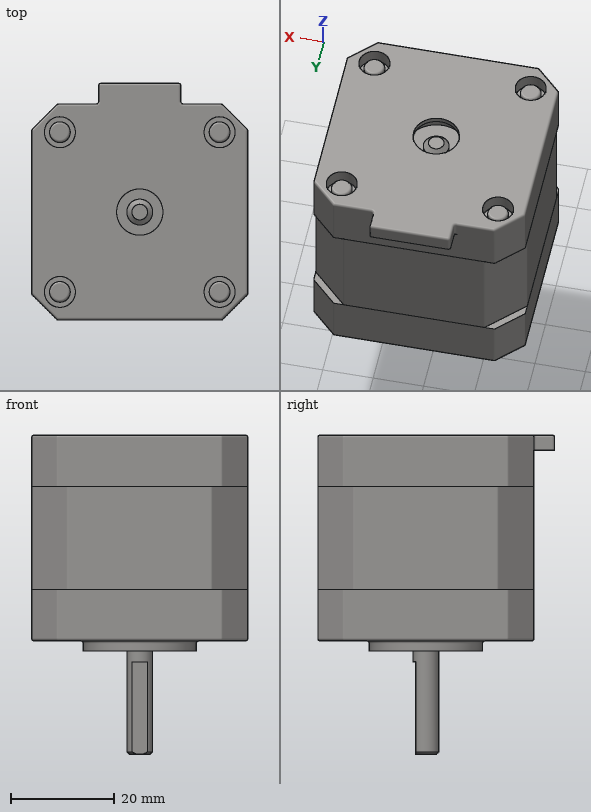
import cadquery as cq


housing_width = 42.0
cap_height = 10.0
core_height = 20.0
cap_corner_cut = 5.0
core_corner_cut = 7.0
edge_radius = 0.5

rear_cap_base = cap_height + core_height
housing_top = rear_cap_base + cap_height

tab_width = 16.0
tab_reach = 4.0
tab_thickness = 3.0

boss_diameter = 22.0
boss_height = 2.0

shaft_diameter = 5.0
shaft_length = 20.0
shaft_tip_chamfer = 0.5
flat_depth = 0.535
flat_length = 18.0

opening_diameter = 9.0
lip_thickness = 1.0
chamber_diameter = 12.0
chamber_cone_depth = 3.0
chamber_cone_growth = 0.1
chamber_floor_depth = 3.95
shaft_end_recess = 2.05
shaft_end_chamfer = 1.0

screw_spacing = 31.0
screw_hole_diameter = 6.0
screw_hole_depth = 3.0
screw_diameter = 4.0
screw_recess = 1.0
screw_end_radius = 0.5


def cylinder(diameter, bottom, top):
    """Upright cylinder on the shaft axis."""
    return cq.Workplane("XY", origin=(0, 0, bottom)).circle(diameter / 2).extrude(top - bottom)


def cut_corner_block(base, height, corner_cut):
    """Square block with cut corners and rounded vertical edges."""
    return (
        cq.Workplane("XY", origin=(0, 0, base))
        .rect(housing_width, housing_width)
        .extrude(height)
        .edges("|Z")
        .chamfer(corner_cut)
        .edges("|Z")
        .fillet(edge_radius)
    )


def make_shaft():
    """Output shaft with a chamfered tip and a flat on its -Y side."""
    tip = -boss_height - shaft_length
    shaft = cylinder(shaft_diameter, tip, -boss_height).faces("<Z").chamfer(shaft_tip_chamfer)
    flat_cutter = (
        cq.Workplane("XY", origin=(0, -shaft_diameter / 2, tip))
        .rect(shaft_diameter, 2 * flat_depth)
        .extrude(flat_length)
    )
    return shaft.cut(flat_cutter)


def make_front_cap():
    """Front cap in one piece with its locating boss and the shaft."""
    cap = cut_corner_block(0, cap_height, cap_corner_cut)
    cap = cap.faces("<Z").edges().fillet(edge_radius)
    cap = cap.union(cylinder(boss_diameter, -boss_height, 0))
    boss_root = cq.selectors.BoxSelector(
        (-boss_diameter, -boss_diameter, -edge_radius / 2),
        (boss_diameter, boss_diameter, edge_radius / 2),
    )
    cap = cap.edges("%CIRCLE").edges(boss_root).fillet(edge_radius)
    return cap.union(make_shaft())


def make_core():
    """Stator core, with deeper corner cuts than the caps."""
    return cut_corner_block(cap_height, core_height, core_corner_cut)


def add_connector_tab(cap):
    """Tab on the +Y side, flush with the rear face, with rounded outer and inner corners."""
    side = housing_width / 2
    tab_base = housing_top - tab_thickness
    tab = (
        cq.Workplane("XY", origin=(0, side, tab_base))
        .rect(tab_width, 2 * tab_reach)
        .extrude(tab_thickness)
        .edges("|Z and >Y")
        .fillet(edge_radius)
    )
    inner_corners = cq.selectors.BoxSelector(
        (-tab_width, side - edge_radius / 2, tab_base),
        (tab_width, side + edge_radius / 2, housing_top),
    )
    return cap.union(tab).edges("|Z").edges(inner_corners).fillet(edge_radius)


def make_shaft_opening():
    """Void around the rear shaft end: a lip, then a wider chamber that flares to its floor."""
    lip_base = housing_top - lip_thickness
    cone_top = housing_top - chamber_cone_depth
    floor = housing_top - chamber_floor_depth
    opening_radius = opening_diameter / 2
    chamber_radius = chamber_diameter / 2
    void = (
        cq.Workplane("XZ")
        .moveTo(0, housing_top)
        .lineTo(opening_radius, housing_top)
        .lineTo(opening_radius, lip_base)
        .lineTo(chamber_radius, lip_base)
        .lineTo(chamber_radius, cone_top)
        .lineTo(chamber_radius + chamber_cone_growth, floor)
        .lineTo(0, floor)
        .close()
        .revolve(360, (0, 0, 0), (0, 1, 0))
    )
    shaft_end = cylinder(shaft_diameter, floor, housing_top - shaft_end_recess)
    return void.cut(shaft_end.faces(">Z").chamfer(shaft_end_chamfer))


def make_screw_hole():
    """Void of one screw hole on the shaft axis, around a screw end with a rounded rim."""
    floor = housing_top - screw_hole_depth
    screw_end = cylinder(screw_diameter, floor, housing_top - screw_recess)
    screw_end = screw_end.faces(">Z").edges().fillet(screw_end_radius)
    return cylinder(screw_hole_diameter, floor, housing_top).cut(screw_end)


def make_rear_cap():
    """Rear cap with the connector tab, the shaft opening and four screw holes."""
    cap = cut_corner_block(rear_cap_base, cap_height, cap_corner_cut)
    cap = add_connector_tab(cap)
    cap = cap.faces(">Z").edges().fillet(edge_radius)
    cap = cap.cut(make_shaft_opening())
    screw_hole = make_screw_hole()
    screw_offset = screw_spacing / 2
    for x in (-screw_offset, screw_offset):
        for y in (-screw_offset, screw_offset):
            cap = cap.cut(screw_hole.translate((x, y, 0)))
    return cap


front_cap = make_front_cap()
core = make_core()
rear_cap = make_rear_cap()

result = cq.Compound.makeCompound([front_cap.val(), core.val(), rear_cap.val()])